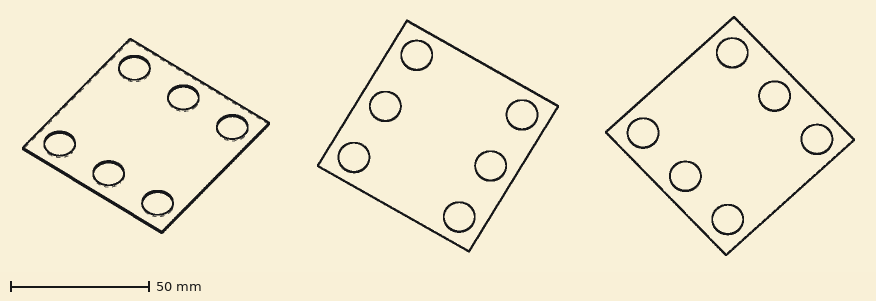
import cadquery as cq

plate_side = 63.5
plate_thickness = 1.0

hole_diameter = 11.2
holes_per_row = 3
row_count = 2
hole_pitch = 22.35
row_spacing = 44.2

plate = cq.Workplane("XY").box(plate_side, plate_side, plate_thickness)

result = (
    plate.faces(">Z")
    .workplane()
    .rarray(hole_pitch, row_spacing, holes_per_row, row_count)
    .hole(hole_diameter)
)